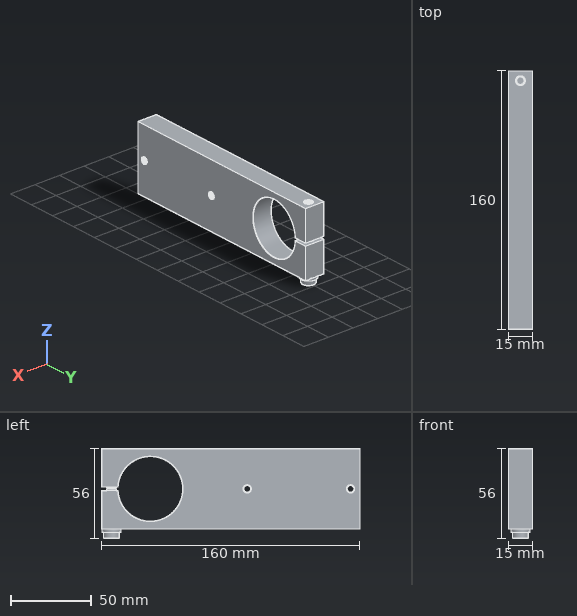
import cadquery as cq

ARM_LENGTH = 160.0
ARM_HEIGHT = 50.0
ARM_THICKNESS = 15.0
END_Y = ARM_LENGTH / 2
TOP_Z = ARM_HEIGHT / 2
SIDE_X = ARM_THICKNESS / 2

BORE_DIAMETER = 40.0
BORE_OFFSET = 30.0
BORE_Y = END_Y - BORE_OFFSET
BORE_CHAMFER = 0.24
SLIT_WIDTH = 2.0

SIDE_HOLE_MINOR = 4.2
SIDE_HOLE_MAJOR = 5.1
SIDE_HOLE_TURNS = 19
SIDE_HOLE_OFFSETS = (90.0, 154.0)

WASHER_DIAMETER = 12.0
WASHER_THICKNESS = 2.0

SCREW_Y = END_Y - WASHER_DIAMETER / 2
SCREW_DIAMETER = 6.0
SCREW_ROOT = 4.6
SCREW_HOLE_MINOR = 5.0
CLEARANCE_DIAMETER = 6.4
HEAD_DIAMETER = 10.0
HEAD_HEIGHT = 4.0
HEAD_CHAMFER = 0.5
THREAD_START_Z = 0.0
HOLE_TURNS = 26
SCREW_TURNS = 22
SCREW_PITCH = (TOP_Z - THREAD_START_Z) / HOLE_TURNS
SEAT_Z = -TOP_Z - WASHER_THICKNESS

ROOT_FLAT_RATIO = 0.2


def cylinder(diameter, bottom, top):
    """Vertical cylinder on the Z axis."""
    return cq.Workplane("XY", origin=(0, 0, bottom)).circle(diameter / 2).extrude(top - bottom)


def on_screw_axis(body):
    """Move a body from the Z axis to the axis of the clamping screw."""
    return body.translate((0, SCREW_Y, 0))


def threaded_rod(root, major, bottom, turns, pitch):
    """Rod on the Z axis with one V groove per turn, starting and ending on a crest."""
    half_flat = ROOT_FLAT_RATIO * pitch / 2
    outline = [(0, bottom), (major / 2, bottom)]
    for turn in range(turns):
        groove_middle = bottom + (turn + 0.5) * pitch
        outline += [
            (root / 2, groove_middle - half_flat),
            (root / 2, groove_middle + half_flat),
            (major / 2, groove_middle + pitch / 2),
        ]
    outline.append((0, bottom + turns * pitch))
    return cq.Workplane("XZ").polyline(outline).close().revolve(360, (0, 0), (0, 1))


def cut_bore_and_slit(arm):
    bore = (
        cq.Workplane("YZ", origin=(-SIDE_X, 0, 0))
        .center(BORE_Y, 0)
        .circle(BORE_DIAMETER / 2)
        .extrude(ARM_THICKNESS)
    )
    slit = cq.Workplane("XY").box(ARM_THICKNESS, END_Y - BORE_Y, SLIT_WIDTH)
    slit = slit.translate((0, (END_Y + BORE_Y) / 2, 0))
    bored = arm.cut(bore).edges("%CIRCLE").chamfer(BORE_CHAMFER)
    return bored.cut(slit)


def cut_side_holes(arm):
    pitch = ARM_THICKNESS / SIDE_HOLE_TURNS
    tap = threaded_rod(SIDE_HOLE_MINOR, SIDE_HOLE_MAJOR, -SIDE_X, SIDE_HOLE_TURNS, pitch)
    tap = tap.rotate((0, 0, 0), (0, 1, 0), 90)
    for offset in SIDE_HOLE_OFFSETS:
        arm = arm.cut(tap.translate((0, END_Y - offset, 0)))
    return arm


def cut_screw_hole(arm):
    """Clearance hole in the lower jaw; tapped hole with matching grooves in the upper jaw."""
    tap = threaded_rod(SCREW_ROOT, SCREW_DIAMETER, THREAD_START_Z, HOLE_TURNS, SCREW_PITCH)
    tap = tap.union(cylinder(SCREW_HOLE_MINOR, THREAD_START_Z, TOP_Z))
    arm = arm.cut(on_screw_axis(cylinder(CLEARANCE_DIAMETER, -TOP_Z, THREAD_START_Z)))
    return arm.cut(on_screw_axis(tap))


def make_arm():
    arm = cq.Workplane("XY").box(ARM_THICKNESS, ARM_LENGTH, ARM_HEIGHT)
    arm = cut_bore_and_slit(arm)
    arm = cut_side_holes(arm)
    return cut_screw_hole(arm)


def make_washer():
    disc = cylinder(WASHER_DIAMETER, SEAT_Z, -TOP_Z)
    return on_screw_axis(disc.cut(cylinder(CLEARANCE_DIAMETER, SEAT_Z, -TOP_Z)))


def make_screw():
    head = cylinder(HEAD_DIAMETER, SEAT_Z - HEAD_HEIGHT, SEAT_Z).faces("<Z").edges().chamfer(HEAD_CHAMFER)
    shank = cylinder(SCREW_DIAMETER, SEAT_Z, THREAD_START_Z)
    thread = threaded_rod(SCREW_ROOT, SCREW_DIAMETER, THREAD_START_Z, SCREW_TURNS, SCREW_PITCH)
    tip_z = THREAD_START_Z + SCREW_TURNS * SCREW_PITCH
    tip_chamfer = (SCREW_DIAMETER - SCREW_ROOT) / 2
    envelope = cylinder(SCREW_DIAMETER, THREAD_START_Z, tip_z).faces(">Z").edges().chamfer(tip_chamfer)
    return on_screw_axis(head.union(shank).union(thread.intersect(envelope)))


arm = make_arm()
washer = make_washer()
screw = make_screw()
result = cq.Compound.makeCompound([arm.val(), washer.val(), screw.val()])